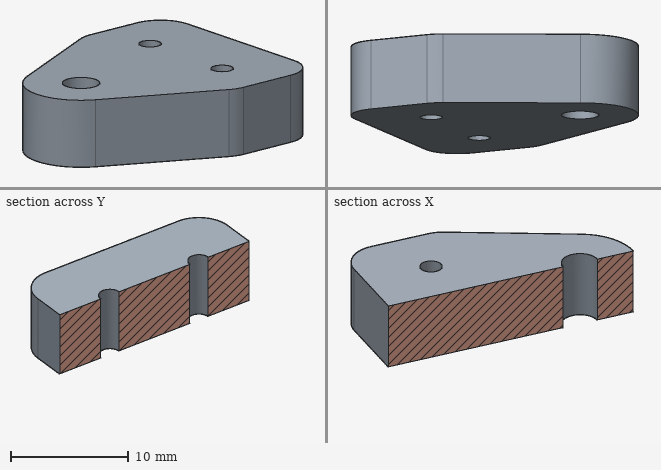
import cadquery as cq
import math

width = 20.0
length = 22.98
thickness = 6.0

corner_diameter = 6.0
corner_radius = corner_diameter / 2
nose_radius = 4.99
straight_side = 5.33

pivot_diameter = 3.2
pin_diameter = 1.9
pin_spacing = 9.4
pin_from_back = 6.15

back_y = length - nose_radius
half_width = width / 2
corner_x = half_width - corner_radius
back_corner_y = back_y - corner_radius
side_corner_y = back_corner_y - straight_side


def on_circle(center_x, center_y, radius, angle):
    """Point on a circle at an angle in radians."""
    return (center_x + radius * math.cos(angle), center_y + radius * math.sin(angle))


def mirrored(point):
    """Point reflected to the -X side."""
    return (-point[0], point[1])


center_distance = math.hypot(corner_x, side_corner_y)
center_angle = math.atan2(side_corner_y, corner_x)
flank_angle = center_angle - math.acos((nose_radius - corner_radius) / center_distance)

nose_end = on_circle(0, 0, nose_radius, flank_angle)
flank_end = on_circle(corner_x, side_corner_y, corner_radius, flank_angle)
side_corner_mid = on_circle(corner_x, side_corner_y, corner_radius, flank_angle / 2)
side_start = (half_width, side_corner_y)
side_end = (half_width, back_corner_y)
back_corner_mid = on_circle(corner_x, back_corner_y, corner_radius, math.pi / 4)
back_end = (corner_x, back_y)

plate = (
    cq.Workplane("XY")
    .moveTo(*nose_end)
    .lineTo(*flank_end)
    .threePointArc(side_corner_mid, side_start)
    .lineTo(*side_end)
    .threePointArc(back_corner_mid, back_end)
    .lineTo(*mirrored(back_end))
    .threePointArc(mirrored(back_corner_mid), mirrored(side_end))
    .lineTo(*mirrored(side_start))
    .threePointArc(mirrored(side_corner_mid), mirrored(flank_end))
    .lineTo(*mirrored(nose_end))
    .threePointArc((0, -nose_radius), nose_end)
    .close()
    .extrude(thickness)
)

pin_y = back_y - pin_from_back
pin_points = [(side * pin_spacing / 2, pin_y) for side in (-1, 1)]
pivot_hole = cq.Workplane("XY").circle(pivot_diameter / 2).extrude(thickness)
pin_holes = cq.Workplane("XY").pushPoints(pin_points).circle(pin_diameter / 2).extrude(thickness)

result = plate.cut(pivot_hole).cut(pin_holes)